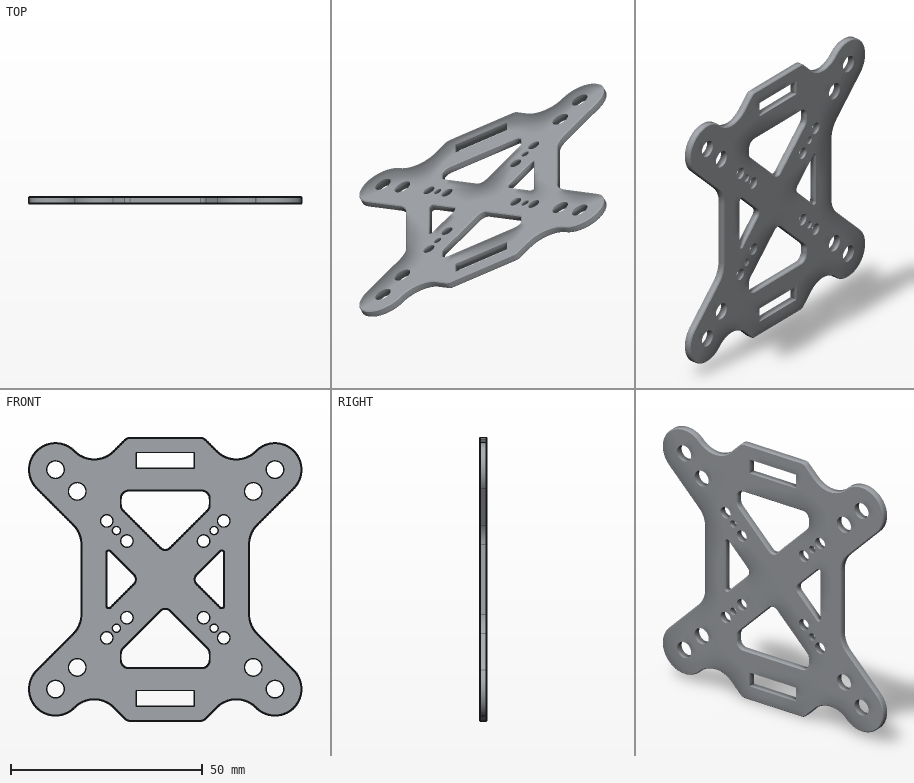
import cadquery as cq
import math

width = 71.25
height = 74.0
thickness = 2.0
edge_chamfer = 0.25

waist_half_width = 22.0
waist_fillet = 7.0
lobe_radius = 7.0
lobe_center = width / 2 - lobe_radius
end_half_width = 10.0
end_fillet = 2.0
valley_fillet = 7.0

strut_half_width = 5.0
tall_window_half_width = 11.5
tall_window_outer = 23.0
wide_fillet = 2.0
tip_fillet = 1.6
side_window_outer = 15.25
side_window_corner_fillet = 0.5

slot_width = 15.0
slot_height = 4.0
slot_center = 31.0

diagonal_holes = [
    (lobe_center, 4.5),
    (22.95, 4.5),
    (15.25, 3.2),
    (12.7, 2.1),
    (10.0, 3.2),
]


def prism(profile):
    """Extrude a closed XZ profile through the plate thickness, centred on Y = 0."""
    return profile.extrude(thickness / 2, both=True)


def round_corners(body, corners, radius):
    """Fillet the through-thickness edges that stand at the given XZ corners."""
    for x, z in corners:
        nearest = cq.selectors.NearestToPointSelector((x, 0, z))
        body = body.edges("|Y").edges(nearest).fillet(radius)
    return body


def mirrored(x, z):
    """The four copies of a point in the quadrants of the plate."""
    return [(sx * x, sz * z) for sx in (1, -1) for sz in (1, -1)]


def make_outline():
    """Waisted core with a lobe on a straight arm at each of its four corners."""
    half_height = height / 2
    arm_offset = lobe_radius * math.sqrt(2)
    tangent = lobe_radius / math.sqrt(2)
    waist_corner = (waist_half_width, waist_half_width - arm_offset)
    valley_x = (half_height + end_half_width - arm_offset) / 2
    valley_corner = (valley_x, valley_x + arm_offset)
    end_corner = (end_half_width, half_height)
    lower_tangent = (lobe_center + tangent, lobe_center - tangent)
    upper_tangent = (lobe_center - tangent, lobe_center + tangent)
    lobe_tip = (lobe_center + tangent, lobe_center + tangent)

    def quadrant(sx, sz):
        def place(point):
            return (sx * point[0], sz * point[1])

        return (
            cq.Workplane("XZ")
            .moveTo(0, 0)
            .lineTo(*place((waist_half_width, 0)))
            .lineTo(*place(waist_corner))
            .lineTo(*place(lower_tangent))
            .threePointArc(place(lobe_tip), place(upper_tangent))
            .lineTo(*place(valley_corner))
            .lineTo(*place(end_corner))
            .lineTo(*place((0, half_height)))
            .close()
        )

    body = prism(quadrant(1, 1))
    for sx, sz in ((-1, 1), (-1, -1), (1, -1)):
        body = body.union(prism(quadrant(sx, sz)))
    body = body.clean()
    body = round_corners(body, mirrored(*waist_corner), waist_fillet)
    body = round_corners(body, mirrored(*valley_corner), valley_fillet)
    return round_corners(body, mirrored(*end_corner), end_fillet)


def make_tall_window():
    """Upper five-sided window, pointing at the plate centre."""
    apex = strut_half_width * math.sqrt(2)
    shoulder = tall_window_half_width + apex
    tip = (0, apex)
    right_side = [(tall_window_half_width, shoulder), (tall_window_half_width, tall_window_outer)]
    left_side = [(-x, z) for x, z in reversed(right_side)]
    body = prism(cq.Workplane("XZ").polyline([tip] + right_side + left_side).close())
    body = round_corners(body, [tip], tip_fillet)
    return round_corners(body, right_side + left_side, wide_fillet)


def make_side_window():
    """Right triangular window, pointing at the plate centre."""
    apex = strut_half_width * math.sqrt(2)
    half_side = side_window_outer - apex
    tip = (apex, 0)
    outer = [(side_window_outer, half_side), (side_window_outer, -half_side)]
    body = prism(cq.Workplane("XZ").polyline([tip] + outer).close())
    body = round_corners(body, [tip], tip_fillet)
    return round_corners(body, outer, side_window_corner_fillet)


plate = make_outline()
for window in (make_tall_window(), make_side_window()):
    plate = plate.cut(window)
    plate = plate.cut(window.rotate((0, 0, 0), (0, 1, 0), 180))

plate = plate.faces("<Y or >Y").chamfer(edge_chamfer)

slot_centers = [(0, slot_center), (0, -slot_center)]
plate = plate.cut(prism(cq.Workplane("XZ").pushPoints(slot_centers).rect(slot_width, slot_height)))

for distance, diameter in diagonal_holes:
    centers = mirrored(distance, distance)
    plate = plate.cut(prism(cq.Workplane("XZ").pushPoints(centers).circle(diameter / 2)))

result = plate